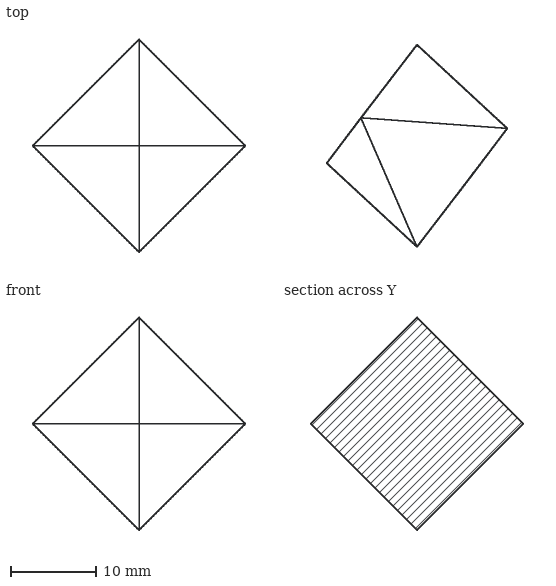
import cadquery as cq

width = 25.0
corner = width / 2


def face(points):
    """Planar face through the given corner points."""
    return cq.Face.makeFromWires(cq.Wire.makePolygon(points, close=True))


def make_die():
    """One solid octahedron: a triangular face in each octant."""
    faces = []
    for x in (-corner, corner):
        for y in (-corner, corner):
            for z in (-corner, corner):
                corners = [cq.Vector(x, 0, 0), cq.Vector(0, y, 0), cq.Vector(0, 0, z)]
                faces.append(face(corners))
    return cq.Workplane(cq.Solid.makeSolid(cq.Shell.makeShell(faces)))


die = make_die()
result = cq.Compound.makeCompound([die.val()])